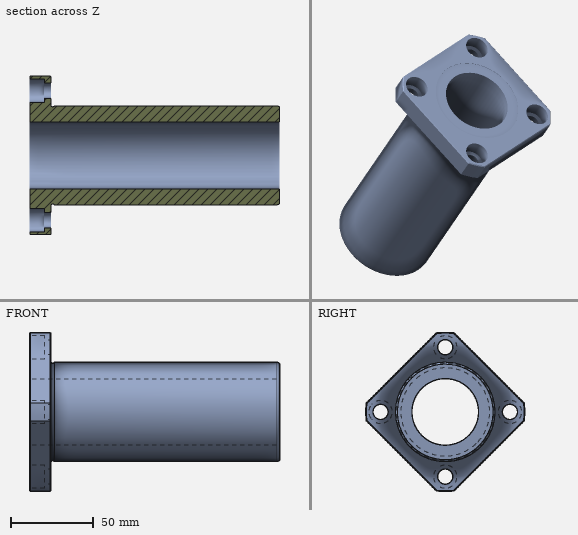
import cadquery as cq

total_length = 151.0
bore_diameter = 40.0
sleeve_diameter = 60.0
end_rounding_length = 2.0
end_rounding_drop = 1.2

flange_thickness = 13.0
flange_diameter = 96.0
flange_width = 75.0
flange_edge_chamfer = 0.5

seal_diameter = 53.4
seal_recess_depth = 0.2

relief_width = 2.0
relief_depth = 0.6

bolt_circle_diameter = 78.0
bolt_hole_diameter = 9.0
counterbore_diameter = 14.0
counterbore_depth = 9.0
bolt_angles = (0, 90, 180, 270)


def make_flange():
    """Square plate standing on its corner, the corners rounded by a turned disc."""
    disc = cq.Workplane("YZ").circle(flange_diameter / 2).extrude(flange_thickness)
    square = (
        cq.Workplane("YZ")
        .transformed(rotate=(0, 0, 45))
        .rect(flange_width, flange_width)
        .extrude(flange_thickness)
    )
    return disc.intersect(square).faces("<X or >X").chamfer(flange_edge_chamfer)


def make_sleeve():
    """Round sleeve whose free end curves inward and meets the end face at a sharp edge."""
    sleeve_radius = sleeve_diameter / 2
    rounding_start = total_length - end_rounding_length
    end_face_radius = sleeve_radius - end_rounding_drop
    return (
        cq.Workplane("XY")
        .lineTo(0, sleeve_radius)
        .lineTo(rounding_start, sleeve_radius)
        .tangentArcPoint((total_length, end_face_radius), relative=False)
        .lineTo(total_length, 0)
        .close()
        .revolve(360, (0, 0, 0), (1, 0, 0))
    )


def make_relief():
    """Shallow round-bottomed relief groove around the sleeve right behind the flange."""
    sleeve_radius = sleeve_diameter / 2
    middle = flange_thickness + relief_width / 2
    return (
        cq.Workplane("XY")
        .moveTo(flange_thickness, sleeve_radius)
        .threePointArc(
            (middle, sleeve_radius - relief_depth),
            (flange_thickness + relief_width, sleeve_radius),
        )
        .close()
        .revolve(360, (0, 0, 0), (1, 0, 0))
    )


def make_seal_recess():
    """Very shallow round recess around the bore in the flange face."""
    return cq.Workplane("YZ").circle(seal_diameter / 2).extrude(seal_recess_depth)


def make_bolt_hole(angle):
    """Through hole with a counterbore open to the flange face."""
    start = cq.Workplane("YZ").center(bolt_circle_diameter / 2, 0)
    hole = start.circle(bolt_hole_diameter / 2).extrude(flange_thickness)
    counterbore = start.circle(counterbore_diameter / 2).extrude(counterbore_depth)
    return hole.union(counterbore).rotate((0, 0, 0), (1, 0, 0), angle)


bore = cq.Workplane("YZ").circle(bore_diameter / 2).extrude(total_length)

result = make_flange().union(make_sleeve()).cut(make_relief()).cut(bore).cut(make_seal_recess())
for bolt_angle in bolt_angles:
    result = result.cut(make_bolt_hole(bolt_angle))